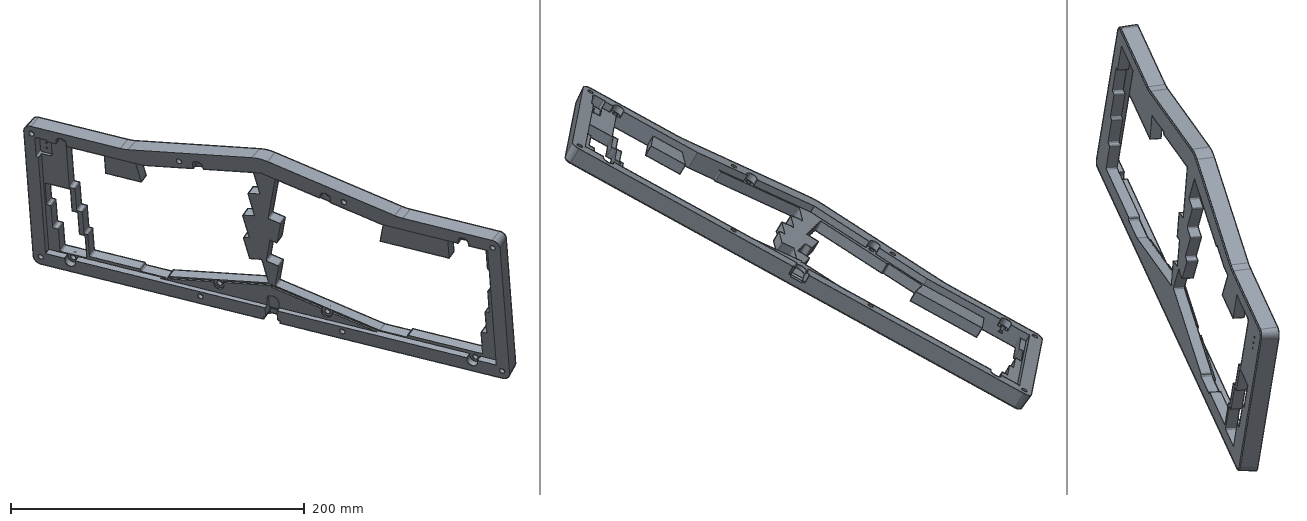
import cadquery as cq
import math


length = 359.0
thickness = 13.0
tilt = 7.9
draft = 5.0
side_height = 120.3
shoulder_x = 103.5
corner_radius = 5.7
bend_radius = 28.7
back_chamfer = 0.7
split_angle = 12.0
split_slope = math.tan(math.radians(split_angle))

web_depth = 3.5
plate_depth = 5.0

rim_x = 169.8
rim_bottom = 10.5
rim_top = 110.2
rim_shoulder_x = 89.7
rim_apex = rim_top + rim_shoulder_x * split_slope

key = 19.0
floor_y = rim_bottom + 0.7
ledge_y = floor_y + 1.8
ledge_end_x = 100.5
ridge_end_x = 79.7
left_ridge_step = 1.5
opening_fillet = 0.7
web_drop = 1.0
row_tops = [ledge_y + row * key for row in range(1, 4)]

column_bottom_xs = [-141.0, -145.5, -149.7]
divider_xs = [-139.0, -141.8, -146.0]
divider_overlap = 1.5
column_left_xs = [-161.2, -165.5, -168.7]
pad_edge_x = -150.5
right_stair_xs = [157.2, 161.5, 164.8, 169.0]
right_notch_x = 166.0
right_notch_bottom = 89.5

tab_bottom = 90.5
left_tab = (-121.7, -94.8)
right_tab = (137.0, 85.0)

hole_diameter = 4.0
hole_depth = 3.5
corner_hole_x = length / 2 - 5.7
hole_inset_y = 6.5
bottom_hole_x = 53.5
upper_hole = (62.0, 121.7)
mount_radius = 4.0
side_mount_x = 151.5
mount_setback = 1.8
mount_reach = 4.5
upper_mount = (48.0, 121.5)
lower_mount_x = 40.5
lower_mount_drop = 3.0

pocket_center = (-166.5, 102.5)
pocket_width = 9.7
pocket_height = 17.5
pocket_radius = 1.8
pocket_depth = 7.2
pinhole_diameter = 1.0
pinhole_pitch = 4.5

notch_width = 9.0
notch_top = 19.5
notch_depth = 6.5
notch_mouth_depth = 7.5
ramp_bottom = 4.5
ramp_top = 7.0
notch_flare = 1.8
flare_start_y = 1.8


def polygon_block(points, top_depth, bottom_depth):
    return (
        cq.Workplane("XY", origin=(0, 0, -top_depth))
        .polyline(points)
        .close()
        .extrude(top_depth - bottom_depth)
    )


def ridge_apex(side):
    """Height at X = 0 of the ridge below the left (-1) or right (+1) key opening."""
    step = left_ridge_step if side < 0 else 0
    return floor_y + step + ridge_end_x * split_slope


def ridge_height(x):
    return ridge_apex(math.copysign(1, x)) - abs(x) * split_slope


def rim_height(x):
    return rim_apex - abs(x) * split_slope


def key_path(start, side, moves):
    """Points stepping down and outward in the tilted key grid; side is -1 left, +1 right."""
    cos_a = math.cos(math.radians(split_angle))
    sin_a = math.sin(math.radians(split_angle))
    x, y = start
    points = [start]
    for down, outward in moves:
        x -= side * down * sin_a
        y -= down * cos_a
        points.append((x, y))
        if outward:
            x += side * outward * cos_a
            y -= outward * sin_a
            points.append((x, y))
    lean = side * split_slope
    foot_y = (ridge_apex(side) - lean * (x - lean * y)) / (1 + lean**2)
    foot_x = x + lean * (foot_y - y)
    points.append((foot_x, foot_y))
    return points


def stair(xs, ys):
    """Points of a staircase with risers at xs and treads at ys, from the first riser up."""
    points = []
    for index, y in enumerate(ys):
        points.append((xs[index], y))
        points.append((xs[index + 1], y))
    return points


def frame():
    half = length / 2
    apex = side_height + shoulder_x * split_slope
    bend_limit = shoulder_x + 3.5
    outline = [
        (-half, 0),
        (half, 0),
        (half, side_height),
        (shoulder_x, side_height),
        (0, apex),
        (-shoulder_x, side_height),
        (-half, side_height),
    ]
    bends = cq.selectors.BoxSelector((-bend_limit, side_height - 3.5, -3.5), (bend_limit, apex + 3.5, 3.5))
    sketch = (
        cq.Sketch()
        .polygon(outline + outline[:1])
        .reset()
        .vertices("<X or >X")
        .fillet(corner_radius)
        .reset()
        .vertices(bends)
        .fillet(bend_radius)
    )
    body = cq.Workplane("XY").placeSketch(sketch).extrude(-thickness, taper=draft)
    return body.faces("<Z").edges().chamfer(back_chamfer)


def rim_opening():
    outline = [
        (-rim_x, rim_bottom),
        (rim_x, rim_bottom),
        (rim_x, rim_top),
        (rim_shoulder_x, rim_top),
        (0, rim_apex),
        (-rim_shoulder_x, rim_top),
        (-rim_x, rim_top),
    ]
    return polygon_block(outline, 0, plate_depth)


def center_web():
    left_apex = ridge_apex(-1) - web_drop
    right_apex = ridge_apex(1) - web_drop
    outline = [
        ((rim_bottom - left_apex) / split_slope, rim_bottom),
        ((right_apex - rim_bottom) / split_slope, rim_bottom),
        (0, right_apex),
        (0, left_apex),
    ]
    return polygon_block(outline, web_depth, plate_depth)


def left_opening():
    lip = 1.8
    lip_start = -69.5
    lip_start_y = rim_height(lip_start)
    spine_x = -8.5
    spine = key_path(
        (spine_x, rim_height(spine_x) - lip),
        -1,
        [(20.0, key / 2), (key, key / 2), (key, key / 4), (18.0, -9.5)],
    )
    stair_xs = divider_xs + [pad_edge_x]
    outline = (
        [(-rim_shoulder_x, rim_top), (lip_start, lip_start_y), (lip_start, lip_start_y - lip)]
        + spine
        + [(-ridge_end_x, floor_y + left_ridge_step), (-ridge_end_x, floor_y)]
        + [(-ledge_end_x, floor_y), (-ledge_end_x, ledge_y), (stair_xs[0], ledge_y)]
        + stair(stair_xs, row_tops)
        + [(pad_edge_x, rim_top)]
    )
    return polygon_block(outline, 0, thickness).edges("|Z").fillet(opening_fillet)


def right_opening():
    inner_lip = 4.3
    outer_lip = 2.5
    lip_step = 61.7
    spine_x = 8.3
    spine = key_path(
        (spine_x, rim_height(spine_x) - inner_lip),
        1,
        [(2 * key, key / 2), (18.3, -5.5), (19.7, key / 2)],
    )
    outline = (
        [(rim_shoulder_x, rim_top), (rim_shoulder_x, rim_top - outer_lip)]
        + [(lip_step, rim_height(lip_step) - outer_lip), (lip_step, rim_height(lip_step) - inner_lip)]
        + spine
        + [(ridge_end_x, floor_y), (ledge_end_x, floor_y)]
        + [(ledge_end_x, ledge_y), (right_stair_xs[0], ledge_y)]
        + stair(right_stair_xs, row_tops)
        + [(right_stair_xs[-1], right_notch_bottom), (right_notch_x, right_notch_bottom)]
        + [(right_notch_x, rim_top)]
    )
    return polygon_block(outline, 0, thickness).edges("|Z").fillet(opening_fillet)


def column_opening():
    step_ys = [y - divider_overlap for y in row_tops]
    outline = (
        [(column_bottom_xs[0], floor_y)]
        + stair(column_bottom_xs, step_ys[:2])
        + [(column_bottom_xs[-1], step_ys[2]), (column_left_xs[-1], step_ys[2])]
        + stair(column_left_xs, step_ys[:2])[::-1]
        + [(column_left_xs[0], floor_y)]
    )
    return polygon_block(outline, 0, thickness).edges("|Z").fillet(opening_fillet)


def tab(outer_x, inner_x):
    """Tab with a straight outer side and an inner side that follows the key grid."""
    lean = math.copysign((rim_top - tab_bottom) * split_slope, inner_x)
    outline = [(outer_x, rim_top), (outer_x, tab_bottom), (inner_x, tab_bottom), (inner_x + lean, rim_top)]
    return polygon_block(outline, plate_depth, thickness)


def drill(points, top_depth):
    return (
        cq.Workplane("XY", origin=(0, 0, -top_depth))
        .pushPoints(points)
        .circle(hole_diameter / 2)
        .extrude(-hole_depth)
    )


def mount_pocket(x, y, angle):
    """Round-ended pocket that opens along +Y turned by angle, with a screw hole in its floor."""
    pocket = cq.Workplane("XY").circle(mount_radius).extrude(-plate_depth)
    mouth = cq.Workplane("XY").center(0, mount_reach / 2).rect(2 * mount_radius, mount_reach)
    pocket = pocket.union(mouth.extrude(-plate_depth))
    pocket = pocket.union(drill([(0, 0)], plate_depth))
    return pocket.rotate((0, 0, 0), (0, 0, 1), angle).translate((x, y, 0))


def light_pocket():
    pocket = (
        cq.Workplane("XY")
        .center(*pocket_center)
        .rect(pocket_width, pocket_height)
        .extrude(-pocket_depth)
        .edges("|Z")
        .fillet(pocket_radius)
    )
    pinholes = (
        cq.Workplane("XY")
        .center(*pocket_center)
        .rarray(3.5, pinhole_pitch, 1, 3)
        .circle(pinhole_diameter / 2)
        .extrude(-thickness)
    )
    return pocket.union(pinholes)


def cable_notch():
    half = notch_width / 2
    wide = half + notch_flare
    flare_end_y = flare_start_y + notch_flare
    outline = (
        cq.Workplane("XY")
        .moveTo(-wide, -notch_flare)
        .lineTo(wide, -notch_flare)
        .lineTo(wide, flare_start_y)
        .radiusArc((half, flare_end_y), notch_flare)
        .lineTo(half, notch_top - half)
        .threePointArc((0, notch_top), (-half, notch_top - half))
        .lineTo(-half, flare_end_y)
        .radiusArc((-wide, flare_start_y), notch_flare)
        .close()
    )
    ramp = (
        cq.Workplane("YZ", origin=(-half, 0, 0))
        .lineTo(0, -notch_mouth_depth)
        .lineTo(ramp_bottom, -notch_mouth_depth)
        .lineTo(ramp_top, -notch_depth)
        .lineTo(ramp_top, 0)
        .close()
        .extrude(notch_width)
    )
    return outline.extrude(-notch_depth).union(ramp)


body = frame().cut(rim_opening()).union(center_web())
for opening in (left_opening(), right_opening(), column_opening()):
    body = body.cut(opening)
for outer_x, inner_x in (left_tab, right_tab):
    body = body.union(tab(outer_x, inner_x))

screw_points = []
for side in (-1, 1):
    screw_points.append((side * corner_hole_x, hole_inset_y))
    screw_points.append((side * corner_hole_x, side_height - hole_inset_y))
    screw_points.append((side * bottom_hole_x, hole_inset_y))
    screw_points.append((side * upper_hole[0], upper_hole[1]))
    body = body.cut(mount_pocket(side * side_mount_x, rim_bottom - mount_setback, 0))
    body = body.cut(mount_pocket(side * side_mount_x, rim_top + mount_setback, 180))
    body = body.cut(mount_pocket(side * upper_mount[0], upper_mount[1], 180 - side * split_angle))
    lower_x = side * lower_mount_x
    body = body.cut(mount_pocket(lower_x, ridge_height(lower_x) - lower_mount_drop, -side * split_angle))
body = body.cut(drill(screw_points, 0)).cut(light_pocket()).cut(cable_notch())

result = body.rotate((0, 0, 0), (1, 0, 0), 90 + tilt)